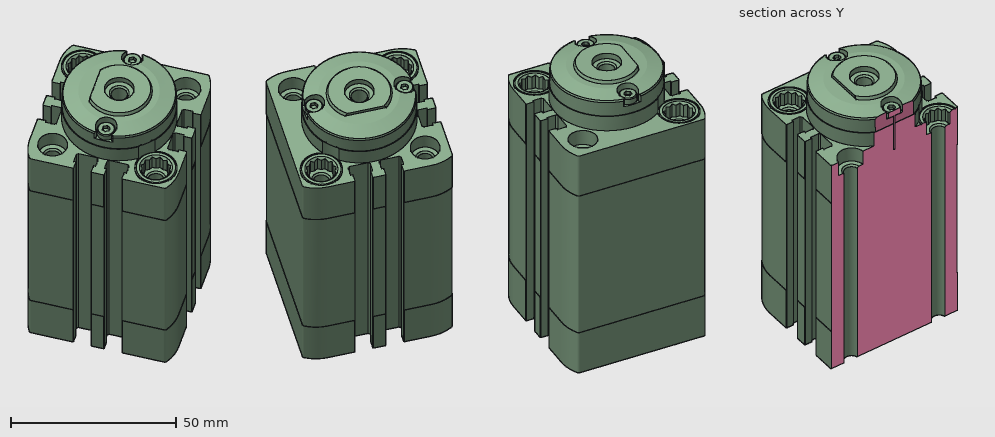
import cadquery as cq
import math

width = 47.0
half_width = width / 2
housing_height = 81.0
end_section = 15.0
mid_recess = 0.1
end_edge_radius = 0.9
mid_edge_radius = 0.4
corner_radius = 13.5
corner_start = 16.25

slot_half_inner = 8.3
slot_half_opening = 7.6
rib_half_width = 2.05
web_half_width = 1.4
slot_depth = 6.0
lip_depth = 2.65
slot_chamfer = 0.5
slot_edge_chamfer = 0.2

collar_diameter = 35.0
collar_top = 86.35
cap_diameter = 34.55
cap_rim_diameter = 34.0
cap_rim_bottom = 91.35
cap_rim_top = 91.95
cap_flat_diameter = 24.6
cap_top = 93.0
rod_top = 94.0

hole_offset = 16.25
hole_diameter = 4.92
hole_mouth_diameter = 6.0
counterbore_diameter = 9.0
counterbore_depth = 5.2

bolt_diameter = 12.8
bolt_edge_chamfer = 0.45
bolt_socket_flats = 8.0
bolt_socket_mouth = 10.0
bolt_socket_depth = 5.2

rod_diameter = 20.0
rod_flat_x = -7.6
rod_bottom = end_section
rod_tip_chamfer = 0.5
rod_counterbore_depth = 2.0
rod_thread_depth = 14.0
drill_point_angle = 118.0

screw_offset = 14.2
screw_head_diameter = 5.5
screw_head_top_diameter = 4.92
screw_head_top = 91.5
screw_head_edge = 0.3
screw_pocket_floor = 89.3
screw_pocket_diameter = 6.5
screw_slot_neck_width = 4.7
screw_slot_mouth_width = 5.9
screw_shank_diameter = 3.0
screw_shank_bottom = 76.0
screw_socket_corners = 2.46
screw_socket_depth = 1.2

bolt_corners = [(-hole_offset, hole_offset), (hole_offset, -hole_offset)]
plain_corners = [(hole_offset, hole_offset), (-hole_offset, -hole_offset)]
screw_places = [(0, -screw_offset), (0, screw_offset)]


def cylinder(diameter, bottom, top, place=(0, 0)):
    """Upright cylinder between two heights."""
    base = cq.Workplane("XY", origin=(place[0], place[1], bottom))
    return base.circle(diameter / 2).extrude(top - bottom)


def cone(bottom_diameter, top_diameter, bottom, top, place=(0, 0)):
    """Upright cone frustum between two heights; a zero bottom diameter gives a point."""
    solid = cq.Solid.makeCone(
        bottom_diameter / 2, top_diameter / 2, top - bottom, cq.Vector(place[0], place[1], bottom)
    )
    return cq.Workplane(obj=solid)


def hexagon(across_corners, turn, bottom, top, place):
    """Upright hexagonal prism; a turn of zero puts a corner on +X."""
    prism = cq.Workplane("XY").polygon(6, across_corners).extrude(top - bottom)
    return prism.rotate((0, 0, 0), (0, 0, 1), turn).translate((place[0], place[1], bottom))


def housing_section(inset, edge_radius, bottom, top):
    """Housing block with rounded X faces and filleted corner edges."""
    side = half_width - inset
    radius = corner_radius - inset
    arc_centre = half_width - corner_radius

    def arc_x(y):
        return arc_centre + math.sqrt(radius**2 - (y - corner_start) ** 2)

    arc_mid_y = (corner_start + side) / 2
    outline = (
        cq.Workplane("XY", origin=(0, 0, bottom))
        .moveTo(side, -corner_start)
        .lineTo(side, corner_start)
        .threePointArc((arc_x(arc_mid_y), arc_mid_y), (arc_x(side), side))
        .lineTo(-arc_x(side), side)
        .threePointArc((-arc_x(arc_mid_y), arc_mid_y), (-side, corner_start))
        .lineTo(-side, -corner_start)
        .threePointArc((-arc_x(arc_mid_y), -arc_mid_y), (-arc_x(side), -side))
        .lineTo(arc_x(side), -side)
        .threePointArc((arc_x(arc_mid_y), -arc_mid_y), (side, -corner_start))
        .close()
    )
    block = outline.extrude(top - bottom)
    corner_edges = block.edges("|Z").filter(lambda edge: abs(edge.Center().y) > arc_mid_y)
    return corner_edges.fillet(edge_radius)


def slot_pair():
    """Two T-slots in the -Y face, on either side of a central T-shaped rib."""
    face = -half_width
    lip = face + lip_depth
    floor = face + slot_depth
    points = [
        (rib_half_width - slot_edge_chamfer, face),
        (slot_half_opening + slot_edge_chamfer, face),
        (slot_half_opening, face + slot_edge_chamfer),
        (slot_half_opening, lip),
        (slot_half_inner, lip),
        (slot_half_inner, floor - slot_chamfer),
        (slot_half_inner - slot_chamfer, floor),
        (web_half_width + slot_chamfer, floor),
        (web_half_width, floor - slot_chamfer),
        (web_half_width, lip),
        (rib_half_width, lip),
        (rib_half_width, face + slot_edge_chamfer),
    ]
    slot = cq.Workplane("XY").polyline(points).close().extrude(housing_height)
    return slot.union(slot.mirror("YZ"))


def mounting_hole(place, recess_floor):
    """Through hole with a chamfered mouth at the floor of its recess."""
    mouth_depth = (hole_mouth_diameter - hole_diameter) / 2
    hole = cylinder(hole_diameter, 0, recess_floor, place)
    mouth = cone(hole_diameter, hole_mouth_diameter, recess_floor - mouth_depth, recess_floor, place)
    return hole.union(mouth)


def bolt_head_groove(place):
    """Groove left by the chamfered edge of a flush bolt head in its counterbore."""
    bottom = housing_height - bolt_edge_chamfer
    head_edge = cone(
        bolt_diameter, bolt_diameter - 2 * bolt_edge_chamfer, bottom, housing_height, place
    )
    return cylinder(bolt_diameter, bottom, housing_height, place).cut(head_edge)


def bolt_socket(place):
    """Twelve-point socket, made of two crossed hexagons, with a chamfered mouth."""
    floor = housing_height - bolt_socket_depth
    across_corners = bolt_socket_flats / math.cos(math.pi / 6)
    mouth_depth = (bolt_socket_mouth - bolt_socket_flats) / 2
    socket = cone(
        bolt_socket_flats, bolt_socket_mouth, housing_height - mouth_depth, housing_height, place
    )
    for turn in (0, 30):
        socket = socket.union(hexagon(across_corners, turn, floor, housing_height, place))
    return socket


def make_housing():
    mid_top = housing_height - end_section
    body = housing_section(0, end_edge_radius, 0, end_section)
    body = body.union(housing_section(mid_recess, mid_edge_radius, end_section, mid_top))
    body = body.union(housing_section(0, end_edge_radius, mid_top, housing_height))
    for turn in (0, 90, -90):
        body = body.cut(slot_pair().rotate((0, 0, 0), (0, 0, 1), turn))
    body = body.union(cylinder(collar_diameter, housing_height, collar_top))

    for place in plain_corners:
        floor = housing_height - counterbore_depth
        body = body.cut(cylinder(counterbore_diameter, floor, housing_height, place))
        body = body.cut(mounting_hole(place, floor))
    for place in bolt_corners:
        body = body.cut(cylinder(bolt_diameter, housing_height, collar_top, place))
        body = body.cut(bolt_head_groove(place))
        body = body.cut(bolt_socket(place))
        body = body.cut(mounting_hole(place, housing_height - bolt_socket_depth))
    return body


def rod_blank():
    """D-shaped rod without its end details; also the shape of its bore."""
    blank = cylinder(rod_diameter, rod_bottom, rod_top)
    keep = cq.Workplane("XY").box(rod_diameter, rod_diameter, rod_top, centered=(False, True, False))
    return blank.intersect(keep.translate((rod_flat_x, 0, 0)))


def make_rod():
    tip = cone(rod_diameter, rod_diameter - 2 * rod_tip_chamfer, cap_top, rod_top)
    rod = rod_blank().intersect(cylinder(rod_diameter, rod_bottom, cap_top).union(tip))

    floor = rod_top - rod_counterbore_depth
    thread_bottom = floor - rod_thread_depth
    point_height = hole_diameter / 2 / math.tan(math.radians(drill_point_angle / 2))
    mouth_depth = (hole_mouth_diameter - hole_diameter) / 2
    rod = rod.cut(cylinder(counterbore_diameter, floor, rod_top))
    rod = rod.cut(cone(hole_diameter, hole_mouth_diameter, floor - mouth_depth, floor))
    rod = rod.cut(cylinder(hole_diameter, thread_bottom, floor))
    return rod.cut(cone(0, hole_diameter, thread_bottom - point_height, thread_bottom))


def screw_blank(place):
    """Screw without its socket."""
    shank = cylinder(screw_shank_diameter, screw_shank_bottom, screw_pocket_floor, place)
    edge_bottom = screw_head_top - screw_head_edge
    head = cylinder(screw_head_diameter, screw_pocket_floor, edge_bottom, place)
    edge = cone(screw_head_diameter, screw_head_top_diameter, edge_bottom, screw_head_top, place)
    return shank.union(head).union(edge)


def make_screw(place):
    socket = hexagon(
        screw_socket_corners, 30, screw_head_top - screw_socket_depth, screw_head_top, place
    )
    return screw_blank(place).cut(socket)


def screw_pocket(place):
    """Round pocket around a screw head, with a flared slot to the outside of the cap."""
    outward = math.copysign(1, place[1])
    neck = screw_slot_neck_width / 2
    mouth = screw_slot_mouth_width / 2
    cap_radius = cap_diameter / 2
    neck_y = screw_offset + math.sqrt((screw_pocket_diameter / 2) ** 2 - neck**2)
    mouth_y = math.sqrt(cap_radius**2 - mouth**2)
    half_slot = [
        (neck, screw_offset),
        (neck, neck_y),
        (mouth, mouth_y),
        (mouth, cap_radius),
    ]
    other_half = [(-x, y) for x, y in reversed(half_slot)]
    points = [(x, outward * y) for x, y in half_slot + other_half]
    slot = cq.Workplane("XY", origin=(0, 0, screw_pocket_floor)).polyline(points).close()
    pocket = cylinder(screw_pocket_diameter, screw_pocket_floor, cap_top, place)
    return pocket.union(slot.extrude(cap_top - screw_pocket_floor))


def make_cap():
    cap = cylinder(cap_diameter, collar_top, cap_rim_bottom)
    cap = cap.union(cone(cap_diameter, cap_rim_diameter, cap_rim_bottom, cap_rim_top))
    cap = cap.union(cone(cap_rim_diameter, cap_flat_diameter, cap_rim_top, cap_top))
    for place in screw_places:
        cap = cap.cut(screw_pocket(place))
    return cap


housing = make_housing().cut(rod_blank())
cap = make_cap().cut(rod_blank())
rod = make_rod()
for screw_place in screw_places:
    housing = housing.cut(screw_blank(screw_place))
    cap = cap.cut(screw_blank(screw_place))
screws = [make_screw(screw_place) for screw_place in screw_places]

result = cq.Compound.makeCompound([housing.val(), cap.val(), rod.val(), *[s.val() for s in screws]])